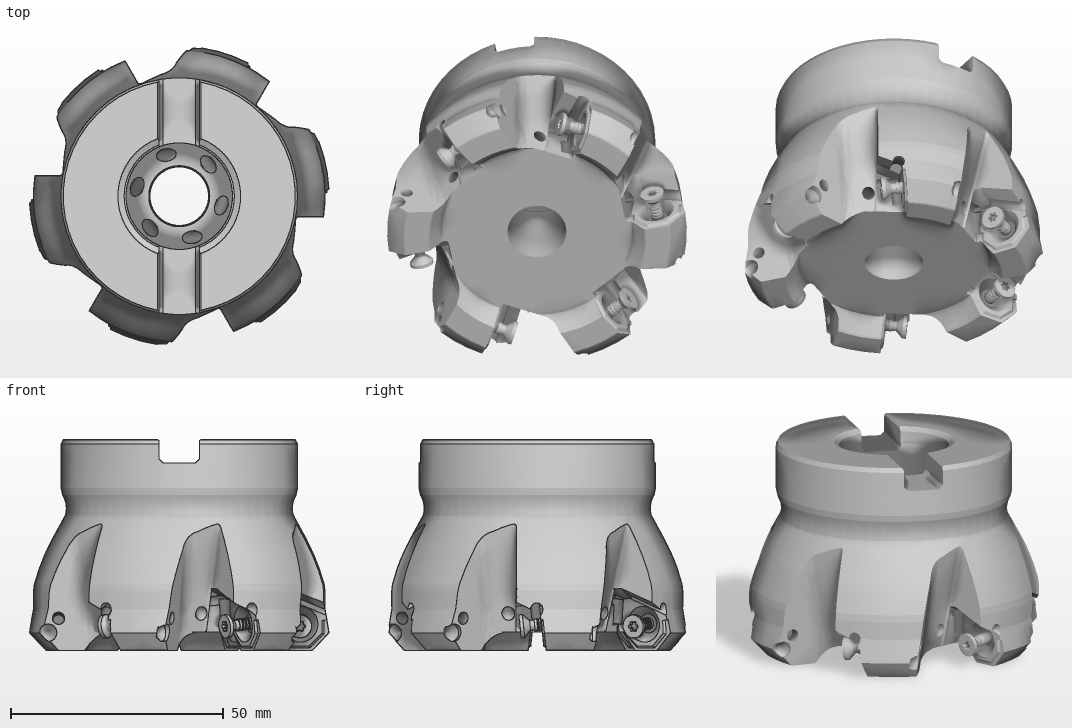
import cadquery as cq
import math


tooth_count = 6
tooth_pitch = 360 / tooth_count
height = 49.7
cut_reach = 56.35

hub_radius = 27.8
hub_top_chamfer = 1.05
hub_bottom = 38.2
neck_top_radius = 27.5
neck_top = 36.6
neck_radius = 26.6
neck_z = 33.8
neck_bottom_radius = 26.85
neck_bottom = 31.85
shoulder_radius = 29.7
shoulder_z = 26.55
flank_radius = 30.3
flank_z = 25.4
flank_mid_radius = 32.55
flank_mid_z = 20.4
flank_end_radius = 34.1
flank_end_z = 15.65
band_radius = 34.3
band_top = 13.95
overall_width = 70.45
lip_start_y = 1.7
lip_radius = math.hypot(overall_width / 2, lip_start_y)
lip_top = 9.8
lip_bottom = 4.2
lip_edge_radius = 35.15
lip_edge_z = 5.1
base_radius = 31.15
edge_break = 0.35

bore_rim_radius = 14.45
bore_mouth_radius = 12.95
bore_rim_chamfer = 0.9
bore_mouth_depth = 3.6
bore_radius = 12.55
groove_depth_top = 12.7
groove_width = 1.05
groove_radius = 12.9
ledge_z = 24.65
through_radius = 6.9
through_chamfer = 0.3
recess_base_radius = 25.2
recess_top_radius = 22.4
recess_height = 4.4

slot_half_width = 4.7
slot_depth = 5.5
slot_floor_chamfer = 0.9
slot_rim_chamfer = 0.35

leading_y = -4.85
floor_x = 19.95
floor_lean = 0.25
side_lean = -0.09
floor_end_y = -8.2
corner_chord = 5.0
corner_bulge = 0.7
trailing_turn = 39.0
leading_corner_radius = 0.85

screw_x = 28.4
screw_z = 6.1
screw_tilt = 6.0
seat_front = -7.05
seat_overlap = 0.15
seat_floor = 1.0
seat_top_tilt = 22.5
seat_apothem = 4.6
seat_top_draft = 30.0
seat_inner_width = 7.2
seat_inner_lean = 0.13
seat_corner_width = 2.8
seat_corner_drop = 0.2
seat_rim_apothem = 5.15
seat_rim_sides = 8
seat_rim_drop = 0.5
relief_radius = 1.4
relief_lift = 1.05
corner_relief_radius = 1.1
seat_reach = 14.1
seat_below = 9.85
dish_radius = 4.2
dish_bottom_radius = 2.25
dish_depth = 2.1
screw_hole_radius = 1.4

head_radius = 2.75
head_front = -4.1
head_rim = 0.85
head_cone = 1.55
neck_shank_radius = 1.2
thread_start = -0.6
thread_end = 8.45
thread_groove_depth = 0.15
thread_pitch = 0.85
thread_groove_count = 3
socket_radius = 0.9
socket_lobe_radius = 0.35
socket_depth = 1.1
socket_lobes = 6

coolant_radius = 1.5
coolant_entry_radius = 10.15
coolant_entry_angle = -72.5
coolant_exit = (22.4, -6.75, 8.5)

scoop_radius = 2.05
scoop_mouth_y = 16.9
scoop_end_y = 12.95
scoop_tip = 2.5
scoop_x = 30.85
scoop_z = 4.2


def turned_blank():
    return (
        cq.Workplane("XZ")
        .moveTo(0, 0)
        .lineTo(base_radius, 0)
        .lineTo(base_radius + edge_break, edge_break / 2)
        .lineTo(lip_radius, lip_bottom)
        .lineTo(lip_edge_radius, lip_edge_z)
        .lineTo(band_radius, lip_top)
        .lineTo(band_radius, band_top)
        .lineTo(flank_end_radius, flank_end_z)
        .threePointArc((flank_mid_radius, flank_mid_z), (flank_radius, flank_z))
        .lineTo(shoulder_radius, shoulder_z)
        .lineTo(neck_bottom_radius, neck_bottom)
        .threePointArc((neck_radius, neck_z), (neck_top_radius, neck_top))
        .lineTo(hub_radius, hub_bottom)
        .lineTo(hub_radius, height - hub_top_chamfer)
        .lineTo(hub_radius - hub_top_chamfer / 2, height)
        .lineTo(0, height)
        .close()
        .revolve(360, (0, 0, 0), (0, 1, 0))
    )


def bore_tool():
    mouth_z = height - bore_mouth_depth
    groove_z = height - groove_depth_top
    return (
        cq.Workplane("XZ")
        .moveTo(0, 0)
        .lineTo(recess_base_radius + edge_break, 0)
        .lineTo(recess_base_radius, edge_break)
        .lineTo(recess_top_radius, recess_height)
        .lineTo(through_radius, recess_height)
        .lineTo(through_radius, ledge_z - through_chamfer)
        .lineTo(through_radius + through_chamfer, ledge_z)
        .lineTo(bore_radius, ledge_z)
        .lineTo(bore_radius, groove_z - groove_width)
        .lineTo(groove_radius, groove_z - groove_width)
        .lineTo(groove_radius, groove_z)
        .lineTo(bore_radius, groove_z)
        .lineTo(bore_radius, mouth_z)
        .lineTo(bore_mouth_radius, mouth_z)
        .lineTo(bore_mouth_radius, height - bore_rim_chamfer)
        .lineTo(bore_rim_radius, height)
        .lineTo(0, height)
        .close()
        .revolve(360, (0, 0, 0), (0, 1, 0))
    )


def slot_tool():
    floor_z = height - slot_depth
    floor_half = slot_half_width - slot_floor_chamfer
    rim_half = slot_half_width + slot_rim_chamfer
    return (
        cq.Workplane("XZ")
        .polyline([
            (-floor_half, floor_z),
            (floor_half, floor_z),
            (slot_half_width, floor_z + slot_floor_chamfer),
            (slot_half_width, height - slot_rim_chamfer),
            (rim_half, height),
            (-rim_half, height),
            (-slot_half_width, height - slot_rim_chamfer),
            (-slot_half_width, floor_z + slot_floor_chamfer),
        ])
        .close()
        .extrude(cut_reach, both=True)
    )


def tall_block(start_y):
    """Large block that starts at the given Y and reaches one cutting length further along +Y."""
    return (
        cq.Workplane("XY")
        .box(2 * cut_reach, cut_reach, 2 * cut_reach, centered=(True, False, True))
        .translate((0, start_y, 0))
    )


def flute_tool():
    """Leaning prism with floor, corner arc and trailing wall, trimmed flat at the leading wall."""
    turn = math.radians(trailing_turn)
    chord_turn = turn / 2
    wall_length = 21.1
    arc_end = (
        floor_x + corner_chord * math.sin(chord_turn),
        floor_end_y - corner_chord * math.cos(chord_turn),
    )
    arc_middle = (
        (floor_x + arc_end[0]) / 2 - corner_bulge * math.cos(chord_turn),
        (floor_end_y + arc_end[1]) / 2 - corner_bulge * math.sin(chord_turn),
    )
    wall_end = (arc_end[0] + wall_length * math.sin(turn), arc_end[1] - wall_length * math.cos(turn))
    start_z = -7.05
    rise = 49.3
    section = (
        cq.Workplane("XY")
        .moveTo(floor_x, cut_reach / 2)
        .lineTo(floor_x, floor_end_y)
        .threePointArc(arc_middle, arc_end)
        .lineTo(*wall_end)
        .lineTo(cut_reach, wall_end[1])
        .lineTo(cut_reach, cut_reach / 2)
        .close()
    )
    wire = section.val().translate(cq.Vector(floor_lean * start_z, side_lean * start_z, start_z))
    direction = cq.Vector(floor_lean * rise, side_lean * rise, rise)
    prism = cq.Workplane(cq.Solid.extrudeLinear(wire, [], direction))
    in_front = tall_block(leading_y - cut_reach)
    trimmed = prism.intersect(in_front)
    return trimmed.faces(">Y").edges("<X").fillet(leading_corner_radius)


def screw_plane(offset=0.0):
    """Plane across the screw axis: local x is radial, local y points up, normal runs into the tooth."""
    tilt = math.radians(screw_tilt)
    axis = cq.Vector(0, math.cos(tilt), math.sin(tilt))
    origin = cq.Vector(screw_x, 0, screw_z) + axis * offset
    return cq.Plane(origin=origin, xDir=(-1, 0, 0), normal=axis)


def seat_crown(depth):
    """Height of the top wall over the screw axis, measured up from the axis."""
    crown = seat_apothem / math.cos(math.radians(seat_top_tilt))
    return crown + (seat_floor - depth) * math.tan(math.radians(seat_top_draft))


def seat_top_line(depth):
    """Ends of the sloping top wall and the top of the inner wall at a depth along the screw axis."""
    slope = math.tan(math.radians(seat_top_tilt))
    crown = seat_crown(depth)
    outer = (-seat_reach, crown - slope * seat_reach)
    inner = (seat_corner_width, crown + slope * seat_corner_width)
    wall_top_v = inner[1] - seat_corner_drop
    wall_top = (seat_inner_width - seat_inner_lean * wall_top_v, wall_top_v)
    return outer, inner, wall_top


def seat_outline(depth):
    outer, inner, wall_top = seat_top_line(depth)
    return [
        outer,
        inner,
        wall_top,
        (seat_inner_width + seat_inner_lean * seat_below, -seat_below),
        (-seat_reach, -seat_below),
    ]


def seat_groove(start, end):
    """Round relief groove sunk into the seat floor between two points of that floor."""
    plane = screw_plane(seat_floor - relief_radius / 2)
    first = plane.toWorldCoords(start)
    run = plane.toWorldCoords(end) - first
    return cq.Workplane(cq.Solid.makeCylinder(relief_radius, run.Length, first, run))


def seat_tool():
    """Pocket open to the flute, the outside and the bottom, with relief grooves, dish and screw hole."""
    floor_plane = screw_plane(seat_floor)
    front_wire = cq.Workplane(screw_plane(seat_front)).polyline(seat_outline(seat_front)).close().val()
    floor_wire = cq.Workplane(floor_plane).polyline(seat_outline(seat_floor)).close().val()
    pocket = cq.Workplane(cq.Solid.makeLoft([front_wire, floor_wire], True))
    behind_leading_wall = tall_block(leading_y - seat_overlap)
    pocket = pocket.intersect(behind_leading_wall)

    octagon_width = 2 * seat_rim_apothem / math.cos(math.pi / seat_rim_sides)
    octagon = (
        cq.Workplane(floor_plane)
        .transformed(rotate=(0, 0, 180 / seat_rim_sides))
        .polygon(seat_rim_sides, octagon_width)
        .extrude(seat_rim_drop, taper=-45)
    )
    rim = (
        cq.Workplane(floor_plane)
        .polyline([
            (seat_inner_width, -seat_below),
            (seat_inner_width, 0),
            (0, 0),
            (-seat_reach, seat_apothem / 2),
            (-seat_reach, -seat_below),
        ])
        .close()
        .extrude(seat_rim_drop)
        .cut(octagon)
    )

    outer, inner, wall_top = seat_top_line(seat_floor)
    lifted_inner = (inner[0], inner[1] + relief_lift)
    lifted_outer = (outer[0], outer[1] + relief_lift)
    top_groove = seat_groove(lifted_inner, lifted_outer)
    inner_groove = seat_groove(wall_top, (seat_inner_width, 0))
    corner_relief = (
        cq.Workplane(screw_plane(seat_front))
        .center(*wall_top)
        .circle(corner_relief_radius)
        .extrude(seat_floor - seat_front)
        .intersect(behind_leading_wall)
    )
    dish = (
        cq.Workplane(floor_plane)
        .circle(dish_radius)
        .workplane(offset=dish_depth)
        .circle(dish_bottom_radius)
        .loft()
    )
    hole = cq.Workplane(floor_plane).circle(screw_hole_radius).extrude(cut_reach / 2)
    return [pocket.union(dish).union(hole), rim, top_groove, inner_groove, corner_relief]


def coolant_tool():
    angle = math.radians(coolant_entry_angle)
    entry = cq.Vector(
        coolant_entry_radius * math.cos(angle), coolant_entry_radius * math.sin(angle), ledge_z
    )
    run = cq.Vector(*coolant_exit) - entry
    overshoot = 0.15
    return cq.Workplane(
        cq.Solid.makeCylinder(
            coolant_radius, run.Length * (1 + 2 * overshoot), entry - run * overshoot, run
        )
    )


def scoop_tool():
    return (
        cq.Workplane("XY", origin=(scoop_x, 0, scoop_z))
        .polyline([
            (0, scoop_mouth_y),
            (scoop_radius, scoop_mouth_y),
            (scoop_radius, scoop_end_y),
            (0, scoop_end_y - scoop_tip),
        ])
        .close()
        .revolve(360, (0, 0, 0), (0, 1, 0))
    )


def cutter_body():
    body = turned_blank().cut(bore_tool()).cut(slot_tool())
    for tool in [flute_tool(), *seat_tool(), coolant_tool(), scoop_tool()]:
        for index in range(tooth_count):
            body = body.cut(tool.rotate((0, 0, 0), (0, 0, 1), index * tooth_pitch))
    return body


def insert_screw():
    """Countersunk screw with a lobed socket, on the screw axis of the tooth at +X."""
    cone_end = head_front + head_rim + head_cone
    profile = (
        cq.Workplane("XY")
        .polyline([
            (0, head_front),
            (head_radius, head_front),
            (head_radius, head_front + head_rim),
            (neck_shank_radius, cone_end),
            (neck_shank_radius, thread_start),
            (screw_hole_radius, thread_start),
            (screw_hole_radius, thread_end),
            (0, thread_end),
        ])
        .close()
        .revolve(360, (0, 0, 0), (0, 1, 0))
    )
    for index in range(thread_groove_count):
        groove_y = thread_start + (index + 1) * thread_pitch
        groove = (
            cq.Workplane("XY")
            .polyline([
                (screw_hole_radius - thread_groove_depth, groove_y),
                (screw_hole_radius, groove_y - thread_pitch / 4),
                (screw_hole_radius, groove_y + thread_pitch / 4),
            ])
            .close()
            .revolve(360, (0, 0, 0), (0, 1, 0))
        )
        profile = profile.cut(groove)
    socket = cq.Workplane("XZ", origin=(0, head_front, 0)).circle(socket_radius).extrude(-socket_depth)
    lobes = (
        cq.Workplane("XZ", origin=(0, head_front, 0))
        .polarArray(socket_radius, 0, 360, socket_lobes)
        .circle(socket_lobe_radius)
        .extrude(-socket_depth)
    )
    screw = profile.cut(socket).cut(lobes)
    return screw.rotate((0, 0, 0), (1, 0, 0), screw_tilt).translate((screw_x, 0, screw_z))


cutter = cutter_body()
screws = [
    insert_screw().rotate((0, 0, 0), (0, 0, 1), index * tooth_pitch).val()
    for index in range(tooth_count)
]

result = cq.Compound.makeCompound([cutter.val(), *screws])